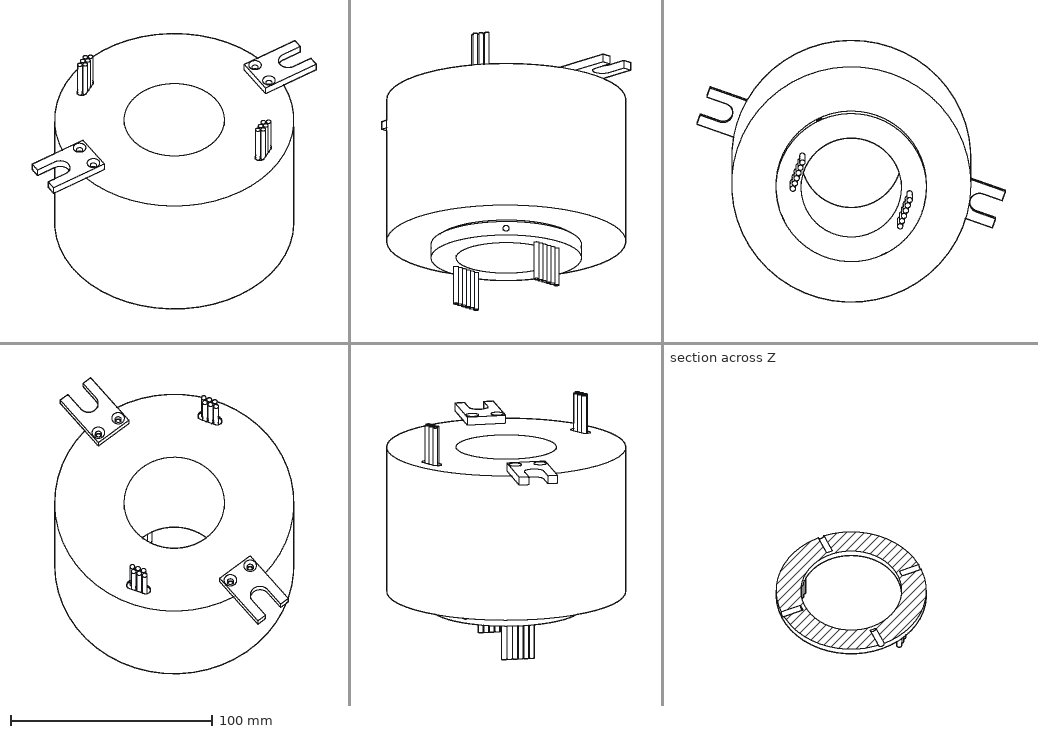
import cadquery as cq
import math

body_diameter = 119.0
body_height = 74.0
bore_diameter = 49.9

sleeve_diameter = 54.0
neck_diameter = 70.0
neck_height = 1.5
collar_diameter = 74.9
collar_height = 7.0
set_screw_diameter = 3.0
set_screw_count = 4
set_screw_first_angle = 45.0

overall_length = 156.0
bracket_width = 19.5
bracket_length = 30.1
bracket_thickness = 4.0
fork_slot_width = 9.7
fork_slot_depth = 15.1
screw_spacing = 12.6
screw_edge_distance = 4.2
countersink_diameter = 6.2
countersink_angle = 90.0
clearance_diameter = 3.1
tapped_diameter = 2.5
tapped_depth = 4.7
drill_tip_angle = 118.0

lead_length = 19.0
top_lead_diameter = 2.3
top_lead_pitch = 3.0
top_lead_row_spacing = 2.2
top_leads_per_row = 3
lead_pocket_length = 12.3
lead_pocket_width = 4.7
lead_pocket_depth = 1.5
lead_pocket_radius = 49.6
lead_pocket_angles = (30.0, 210.0)
bottom_lead_diameter = 2.7
bottom_lead_gap = 0.2
bottom_lead_count = 6

collar_top = -neck_height
collar_bottom = collar_top - collar_height
bracket_outer_y = overall_length / 2
bracket_inner_y = bracket_outer_y - bracket_length
bracket_top = body_height + bracket_thickness


def disc(diameter, bottom, height):
    """Solid cylinder on the Z axis."""
    return cq.Workplane("XY").workplane(offset=bottom).circle(diameter / 2).extrude(height)


def make_housing():
    housing = disc(body_diameter, 0, body_height)
    housing = housing.union(disc(neck_diameter, collar_top, neck_height))
    housing = housing.union(disc(collar_diameter, collar_bottom, collar_height))
    return housing.cut(disc(bore_diameter, collar_bottom, body_height - collar_bottom))


def set_screw_holes():
    """Radial holes through the collar, ending on the sleeve that lines the bore."""
    sleeve_radius = sleeve_diameter / 2
    hole = (
        cq.Workplane("YZ", origin=(sleeve_radius, 0, collar_bottom + collar_height / 2))
        .circle(set_screw_diameter / 2)
        .extrude(collar_diameter / 2 - sleeve_radius)
    )
    holes = cq.Workplane("XY")
    for index in range(set_screw_count):
        angle = set_screw_first_angle + index * 360 / set_screw_count
        holes = holes.add(hole.rotate((0, 0, 0), (0, 0, 1), angle))
    return holes.combine()


def fork_bracket():
    """Bracket at +Y whose open slot faces outward."""
    half_slot = fork_slot_width / 2
    slot_end_y = bracket_outer_y - fork_slot_depth
    slot_arc_y = slot_end_y + half_slot
    half_width = bracket_width / 2
    return (
        cq.Workplane("XY", origin=(0, 0, body_height))
        .moveTo(-half_width, bracket_inner_y)
        .lineTo(half_width, bracket_inner_y)
        .lineTo(half_width, bracket_outer_y)
        .lineTo(half_slot, bracket_outer_y)
        .lineTo(half_slot, slot_arc_y)
        .threePointArc((0, slot_end_y), (-half_slot, slot_arc_y))
        .lineTo(-half_slot, bracket_outer_y)
        .lineTo(-half_width, bracket_outer_y)
        .close()
        .extrude(bracket_thickness)
    )


def bracket_screw_holes():
    """Countersunk clearance holes with tapped, cone-tipped holes in the housing below."""
    clearance_radius = clearance_diameter / 2
    tapped_radius = tapped_diameter / 2
    countersink_radius = countersink_diameter / 2
    countersink_slope = math.tan(math.radians(countersink_angle / 2))
    countersink_depth = (countersink_radius - clearance_radius) / countersink_slope
    tip_length = tapped_radius / math.tan(math.radians(drill_tip_angle / 2))
    tapped_bottom = body_height - tapped_depth
    profile = (
        cq.Workplane("XZ")
        .moveTo(0, tapped_bottom - tip_length)
        .lineTo(tapped_radius, tapped_bottom)
        .lineTo(tapped_radius, body_height)
        .lineTo(clearance_radius, body_height)
        .lineTo(clearance_radius, bracket_top - countersink_depth)
        .lineTo(countersink_radius, bracket_top)
        .lineTo(0, bracket_top)
        .close()
    )
    hole = profile.revolve(360, (0, 0, 0), (0, 1, 0))
    hole_y = bracket_inner_y + screw_edge_distance
    left_hole = hole.translate((-screw_spacing / 2, hole_y, 0))
    return left_hole.add(hole.translate((screw_spacing / 2, hole_y, 0))).combine()


def lead_pocket():
    """Round-ended pocket on the +X side, its long side tangential."""
    return (
        cq.Workplane("XY", origin=(lead_pocket_radius, 0, body_height))
        .slot2D(lead_pocket_length, lead_pocket_width, 90)
        .extrude(-lead_pocket_depth)
    )


def top_lead_bundle():
    """Two staggered rows of leads rising from the pocket floor on the +X side."""
    points = []
    for side in (-1, 1):
        for index in range(top_leads_per_row):
            x = side * top_lead_row_spacing / 2
            y = (index - (top_leads_per_row - 1) / 2) * top_lead_pitch + side * top_lead_pitch / 4
            points.append((x, y))
    return (
        cq.Workplane("XY", origin=(lead_pocket_radius, 0, body_height - lead_pocket_depth))
        .pushPoints(points)
        .circle(top_lead_diameter / 2)
        .extrude(lead_pocket_depth + lead_length)
    )


def bottom_lead_row():
    """Row of leads hanging below the collar at +Y, resting against the sleeve."""
    row_y = (sleeve_diameter + bottom_lead_diameter) / 2
    return (
        cq.Workplane("XY", origin=(0, row_y, collar_bottom))
        .rarray(bottom_lead_diameter + bottom_lead_gap, 1.5, bottom_lead_count, 1)
        .circle(bottom_lead_diameter / 2)
        .extrude(-lead_length)
    )


result = make_housing().cut(set_screw_holes())

for angle in (0, 180):
    axis = ((0, 0, 0), (0, 0, 1), angle)
    result = result.union(fork_bracket().rotate(*axis))
    result = result.cut(bracket_screw_holes().rotate(*axis))
    result = result.union(bottom_lead_row().rotate(*axis))

for angle in lead_pocket_angles:
    axis = ((0, 0, 0), (0, 0, 1), angle)
    result = result.cut(lead_pocket().rotate(*axis))
    result = result.union(top_lead_bundle().rotate(*axis))